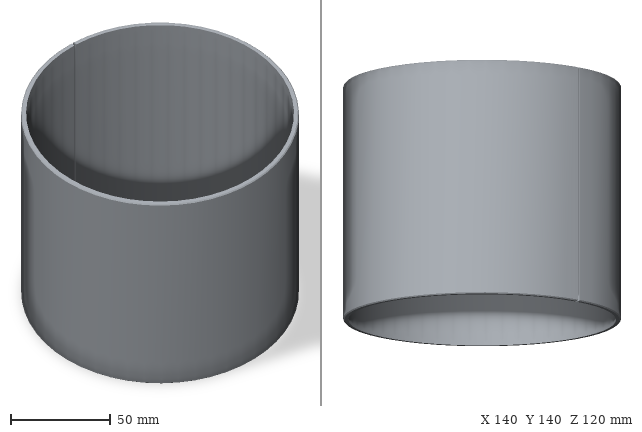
import cadquery as cq

outer_diameter = 140.0
wall = 2.5
height = 120.0
rim_chamfer = 0.5
sweep_angle = 359.0

outer_radius = outer_diameter / 2
inner_radius = outer_radius - wall


def wall_section():
    """Wall cross-section on the -X side, with both outer corners chamfered."""
    return (
        cq.Workplane("XZ")
        .moveTo(-inner_radius, 0)
        .lineTo(-outer_radius + rim_chamfer, 0)
        .lineTo(-outer_radius, rim_chamfer)
        .lineTo(-outer_radius, height - rim_chamfer)
        .lineTo(-outer_radius + rim_chamfer, height)
        .lineTo(-inner_radius, height)
        .close()
    )


result = wall_section().revolve(sweep_angle, (0, 0, 0), (0, 1, 0))